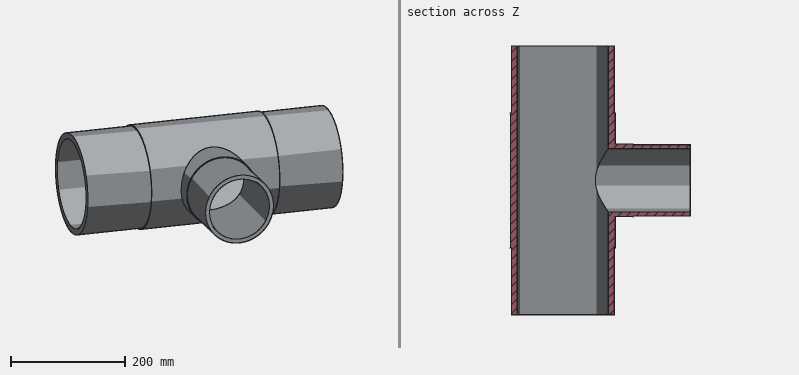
import cadquery as cq

run_length = 470.0
run_diameter = 180.0
run_bore = 158.6
spigot_length = 117.0
body_length = run_length - 2 * spigot_length
body_diameter = 184.28

branch_reach = 223.0
branch_diameter = 125.0
branch_bore = 110.2
branch_spigot_length = 100.0
collar_reach = branch_reach - branch_spigot_length
collar_diameter = 127.96


def run_cylinder(diameter, length):
    """Cylinder along Y, centred on the origin."""
    return cq.Workplane("XZ").circle(diameter / 2).extrude(length / 2, both=True)


def branch_cylinder(diameter, reach):
    """Cylinder along +X, starting at the run axis."""
    return cq.Workplane("YZ").circle(diameter / 2).extrude(reach)


def make_outside():
    """Run with its thicker body, joined to the branch with its thicker collar."""
    run = run_cylinder(run_diameter, run_length).union(run_cylinder(body_diameter, body_length))
    branch = branch_cylinder(branch_diameter, branch_reach)
    collar = branch_cylinder(collar_diameter, collar_reach)
    return run.union(collar).union(branch)


def make_bores():
    """Through bore of the run and the branch bore that opens into it."""
    return run_cylinder(run_bore, run_length).union(branch_cylinder(branch_bore, branch_reach))


result = make_outside().cut(make_bores())